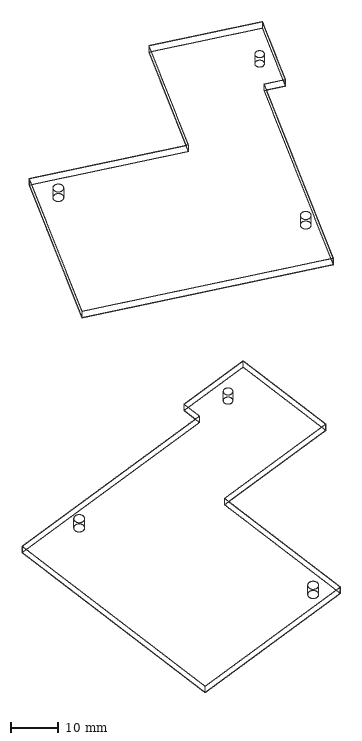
import cadquery as cq

LENGTH = 70.0
WIDTH = 60.0
HEIGHT = 5.0

PLATE_THICKNESS = 2.0
NOTCH_LENGTH = 29.95
NOTCH_WIDTH = 35.0
TAB_LENGTH = 17.5
TAB_RISE = 4.7

PIN_LENGTH = HEIGHT - PLATE_THICKNESS
PINS = [
    (7.1, 57.3, 2.0),
    (32.5, 5.7, 2.3),
    (54.7, 53.7, 2.3),
]


def make_plate():
    """Flat plate with a corner notch and a tab standing out at the back."""
    outline = [
        (NOTCH_LENGTH, 0),
        (LENGTH, 0),
        (LENGTH, WIDTH - TAB_RISE),
        (TAB_LENGTH, WIDTH - TAB_RISE),
        (TAB_LENGTH, WIDTH),
        (0, WIDTH),
        (0, NOTCH_WIDTH),
        (NOTCH_LENGTH, NOTCH_WIDTH),
    ]
    return cq.Workplane("XY").polyline(outline).close().extrude(PLATE_THICKNESS)


def make_pin(x, y, diameter):
    """Round pin hanging from the underside of the plate."""
    return cq.Workplane("XY").center(x, y).circle(diameter / 2).extrude(-PIN_LENGTH)


result = make_plate()
for x, y, diameter in PINS:
    result = result.union(make_pin(x, y, diameter))